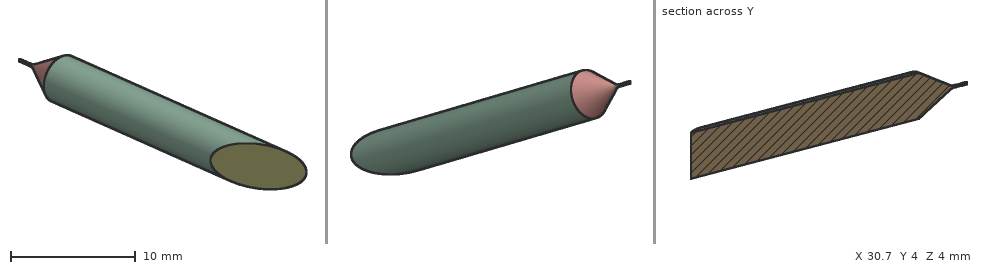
import cadquery as cq
import math

length = 30.7
shank_radius = 2.0
taper_angle = math.radians(30)
bevel_angle = math.radians(30)

neck_radius = 0.115
neck_end = 1.3
flare_radius = 0.75

waist_radius = 0.1
waist_start = 0.58
waist_end = 1.1

tip_flat_length = 0.52


def flare_point(angle):
    """Point on the flare where its slope has reached the given angle."""
    return (
        neck_end + flare_radius * math.sin(angle),
        neck_radius + flare_radius * (1 - math.cos(angle)),
    )


def turned_bar():
    """Neck, flare, cone and shank as one revolved profile."""
    cone_start, cone_start_radius = flare_point(taper_angle)
    cone_end = cone_start + (shank_radius - cone_start_radius) / math.tan(taper_angle)
    return (
        cq.Workplane("XY")
        .lineTo(0, neck_radius)
        .lineTo(neck_end, neck_radius)
        .threePointArc(flare_point(taper_angle / 2), (cone_start, cone_start_radius))
        .lineTo(cone_end, shank_radius)
        .lineTo(length, shank_radius)
        .lineTo(length, 0)
        .close()
        .revolve(360, (0, 0), (1, 0))
    )


def rear_bevel():
    """Wedge that slants the rear end, leaving the +Y side longest."""
    bevel_length = 2 * shank_radius / math.tan(bevel_angle)
    return (
        cq.Workplane("XY")
        .moveTo(length, shank_radius)
        .lineTo(length, -shank_radius)
        .lineTo(length - bevel_length, -shank_radius)
        .close()
        .extrude(shank_radius, both=True)
    )


def waist_relief():
    """Ring cutter that leaves a thinner, slightly lowered waist in the neck."""
    waist_drop = neck_radius - waist_radius
    return (
        cq.Workplane("YZ", origin=(waist_start, 0, 0))
        .circle(2 * neck_radius)
        .extrude(waist_end - waist_start)
        .cut(
            cq.Workplane("YZ", origin=(waist_start, 0, -waist_drop))
            .circle(waist_radius)
            .extrude(waist_end - waist_start)
        )
    )


def tip_flat():
    """Cutter that removes the +Y half of the tip."""
    return cq.Workplane("XY").box(
        tip_flat_length, neck_radius, 2 * neck_radius, centered=(False, False, True)
    )


result = turned_bar().cut(rear_bevel()).cut(waist_relief()).cut(tip_flat())